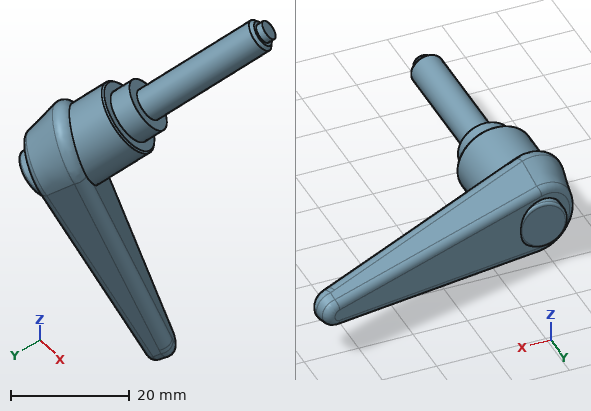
import cadquery as cq
import math


STUD_RADIUS = 3.0
STUD_LENGTH = 25.0
STUD_CHAMFER = 0.6
PIN_RADIUS = 1.8
PIN_LENGTH = 1.3
COLLAR_RADIUS = 5.0
COLLAR_HEIGHT = 4.1

HUB_RADIUS = 7.0
HUB_CHAMFER = 0.3
BOSS_RADIUS = 4.5
BOSS_TOP = 24.65
BOSS_FILLET = 0.5

TOP_SLOPE = 15.0
TOP_AT_AXIS = 23.53
BOTTOM_SLOPE = 20.3
BOTTOM_AT_AXIS = 13.75
DRAFT = 12.5
HEAD_RADIUS = 8.64
TIP_RADIUS = 6.95
TIP_CENTRE = 42.13
TOP_FILLET = 1.5
BOTTOM_FILLET = 2.0

BLANK_BOTTOM = 9.0
BLANK_TOP = 37.0
WEDGE_LEFT = -15.0
WEDGE_RIGHT = 60.0
WEDGE_HALF_WIDTH = 15.0

JOIN_HEIGHT = 18.0


def rod(radius, start, end):
    """Cylinder on the stud axis between two heights."""
    return cq.Workplane("XZ", origin=(0, start, 0)).circle(radius).extrude(start - end)


def point_on_plane(x, height_at_axis, slope):
    """Point in the XY plane on a plane that rises towards +X."""
    return (x, height_at_axis + x * math.tan(math.radians(slope)))


def plane_normal(slope):
    """Direction square to a plane that rises towards +X, as selector text."""
    angle = math.radians(slope)
    return f"({-math.sin(angle)},{math.cos(angle)},0)"


def arm_outline(level):
    """Two round ends joined by their common tangents, at one height of the drafted wall."""
    growth = (BOTTOM_AT_AXIS - level) * math.tan(math.radians(DRAFT))
    head = HEAD_RADIUS + growth
    tip = TIP_RADIUS + growth
    tangent_angle = math.asin((head - tip) / TIP_CENTRE)
    along = math.sin(tangent_angle)
    across = math.cos(tangent_angle)
    return (
        cq.Workplane("XZ", origin=(0, level, 0))
        .moveTo(head * along, head * across)
        .threePointArc((-head, 0), (head * along, -head * across))
        .lineTo(TIP_CENTRE + tip * along, -tip * across)
        .threePointArc((TIP_CENTRE + tip, 0), (TIP_CENTRE + tip * along, tip * across))
        .close()
    )


def make_arm():
    """Drafted teardrop cut to the wedge between the two sloping planes, with round edges."""
    blank = arm_outline(BLANK_BOTTOM).extrude(BLANK_BOTTOM - BLANK_TOP, taper=DRAFT)
    wedge = (
        cq.Workplane("XY")
        .polyline([
            point_on_plane(WEDGE_LEFT, BOTTOM_AT_AXIS, BOTTOM_SLOPE),
            point_on_plane(WEDGE_RIGHT, BOTTOM_AT_AXIS, BOTTOM_SLOPE),
            point_on_plane(WEDGE_RIGHT, TOP_AT_AXIS, TOP_SLOPE),
            point_on_plane(WEDGE_LEFT, TOP_AT_AXIS, TOP_SLOPE),
        ])
        .close()
        .extrude(WEDGE_HALF_WIDTH, both=True)
    )
    arm = blank.intersect(wedge)
    arm = arm.faces(">" + plane_normal(TOP_SLOPE)).edges().fillet(TOP_FILLET)
    return arm.faces("<" + plane_normal(BOTTOM_SLOPE)).edges().fillet(BOTTOM_FILLET)


def make_lever():
    """Arm with the hub below it and the flat-topped boss above it."""
    hub = rod(HUB_RADIUS, COLLAR_HEIGHT, JOIN_HEIGHT).faces("<Y").chamfer(HUB_CHAMFER)
    boss = rod(BOSS_RADIUS, JOIN_HEIGHT, BOSS_TOP).faces(">Y").edges().fillet(BOSS_FILLET)
    return make_arm().union(hub).union(boss)


def make_stud_insert():
    """Collar, chamfered stud and end pin."""
    collar = rod(COLLAR_RADIUS, 0, COLLAR_HEIGHT)
    stud = rod(STUD_RADIUS, -STUD_LENGTH, 0).faces("<Y").chamfer(STUD_CHAMFER)
    pin = rod(PIN_RADIUS, -STUD_LENGTH - PIN_LENGTH, -STUD_LENGTH)
    return collar.union(stud).union(pin)


lever = make_lever()
stud_insert = make_stud_insert()
result = cq.Compound.makeCompound([*lever.solids().vals(), *stud_insert.solids().vals()])